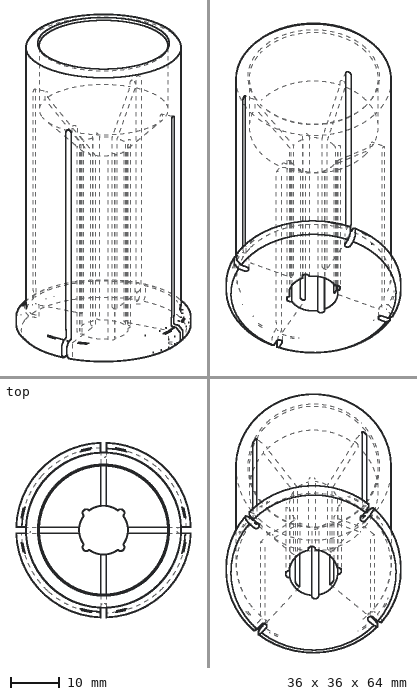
import cadquery as cq
import math

total_height = 64.0
body_radius = 32.0 / 2
top_chamfer_height = 0.9
top_chamfer_width = 0.6

flange_radius = 36.0 / 2
flange_height = 3.95
flange_chamfer = 1.0

corner_rounding = 0.4

relief_depth = 0.1
relief_top = 6.0
relief_taper_height = 0.35

counterbore_radius = 26.5 / 2
counterbore_floor = 49.2
counterbore_chamfer_width = 0.3
counterbore_chamfer_height = 0.5
bore_radius = 10.0 / 2
seat_angle = 90.0

slot_width = 1.2
slot_bottom = 2.7
slot_top = 50.7
notch_inner_radius = 15.0
groove_radius = 0.75
spoke_count = 4

cut_clearance = 1.0


def round_corner(before, corner, after, radius):
    """Start, middle and end of the arc that rounds a profile corner."""
    corner = cq.Vector(*corner)
    to_before = (cq.Vector(*before) - corner).normalized()
    to_after = (cq.Vector(*after) - corner).normalized()
    half_angle = to_before.getAngle(to_after) / 2
    tangent_length = radius / math.tan(half_angle)
    middle_distance = radius / math.sin(half_angle) - radius
    bisector = (to_before + to_after).normalized()
    points = (
        corner + to_before * tangent_length,
        corner + bisector * middle_distance,
        corner + to_after * tangent_length,
    )
    return [(point.x, point.y) for point in points]


def make_sleeve():
    """Revolve the outer and inner profile about Z."""
    relief_radius = body_radius - relief_depth
    seat_depth = (counterbore_radius - bore_radius) / math.tan(math.radians(seat_angle / 2))

    corners = [
        ((bore_radius, 0), False),
        ((flange_radius - flange_chamfer, 0), False),
        ((flange_radius, flange_chamfer), True),
        ((flange_radius, flange_height - flange_chamfer), True),
        ((flange_radius - flange_chamfer, flange_height), True),
        ((relief_radius, flange_height), True),
        ((relief_radius, relief_top - relief_taper_height), False),
        ((body_radius, relief_top), False),
        ((body_radius, total_height - top_chamfer_height), False),
        ((body_radius - top_chamfer_width, total_height), True),
        ((counterbore_radius + counterbore_chamfer_width, total_height), False),
        ((counterbore_radius, total_height - counterbore_chamfer_height), False),
        ((counterbore_radius, counterbore_floor), False),
        ((bore_radius, counterbore_floor - seat_depth), False),
    ]
    points = [point for point, _ in corners]
    profile = cq.Workplane("XZ").moveTo(*points[0])
    for index in range(1, len(corners)):
        point, is_rounded = corners[index]
        if is_rounded:
            start, middle, end = round_corner(points[index - 1], point, points[index + 1], corner_rounding)
            profile = profile.lineTo(*start).threePointArc(middle, end)
        else:
            profile = profile.lineTo(*point)
    return profile.close().revolve(360, (0, 0, 0), (0, 1, 0))


def make_cross_slot(angle):
    """Upright slot with round ends, running right across the part."""
    return (
        cq.Workplane("XZ")
        .center(0, (slot_bottom + slot_top) / 2)
        .slot2D(slot_top - slot_bottom, slot_width, 90)
        .extrude(flange_radius + cut_clearance, both=True)
        .rotate((0, 0, 0), (0, 0, 1), angle)
    )


def make_flange_notch(angle):
    """Notch with a round inner end, open to the rim and the bottom face of the flange."""
    return (
        cq.Workplane("XY")
        .center(flange_radius, 0)
        .slot2D(2 * (flange_radius - notch_inner_radius), slot_width)
        .extrude(flange_height)
        .rotate((0, 0, 0), (0, 0, 1), angle)
    )


def make_bore_grooves():
    """Round grooves along the bore, midway between the cross slots."""
    return (
        cq.Workplane("XY")
        .polarArray(bore_radius, 180 / spoke_count, 360, spoke_count)
        .circle(groove_radius)
        .extrude(counterbore_floor)
    )


result = make_sleeve().cut(make_bore_grooves())
for slot_angle in (0, 90):
    result = result.cut(make_cross_slot(slot_angle))
for spoke in range(spoke_count):
    result = result.cut(make_flange_notch(spoke * 360 / spoke_count))